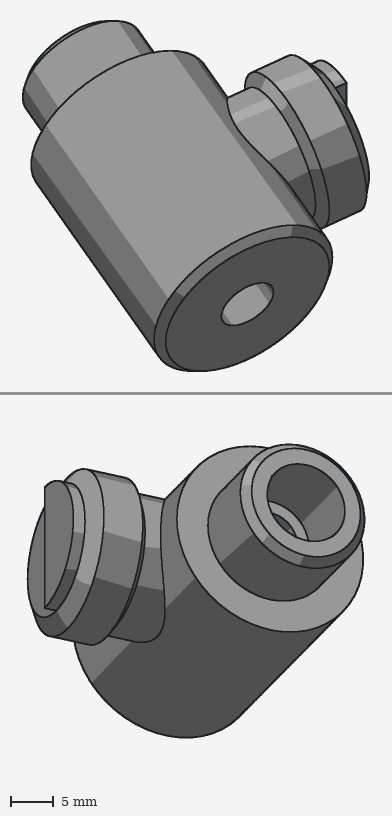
import cadquery as cq

total_length = 40.0
spigot_length = 10.0
spigot_radius = 8.0
body_radius = 12.0
edge_chamfer = 1.0

spigot_bore_radius = 5.0
through_bore_radius = 3.5
spigot_bore_depth = spigot_length

branch_x = 23.0
neck_radius = 8.5
collar_start = 14.0
collar_end = 21.5
collar_radius = 10.0
collar_inner_chamfer_length = 1.0
collar_outer_chamfer_length = 1.5
step_radius = 8.0
step_end = 23.0


def cylinder_x(radius, start, length):
    """Cylinder on the main axis, running toward +X."""
    return cq.Workplane("YZ", origin=(start, 0, 0)).circle(radius).extrude(length)


def make_main():
    spigot = cylinder_x(spigot_radius, 0, spigot_length).faces("<X").chamfer(edge_chamfer)
    body = cylinder_x(body_radius, spigot_length, total_length - spigot_length)
    return spigot.union(body.faces(">X").chamfer(edge_chamfer))


def make_branch():
    """Neck and double-chamfered collar, revolved from a half profile."""
    profile = [
        (0, 0),
        (neck_radius, 0),
        (neck_radius, collar_start),
        (collar_radius, collar_start + collar_inner_chamfer_length),
        (collar_radius, collar_end - collar_outer_chamfer_length),
        (step_radius, collar_end),
        (0, collar_end),
    ]
    turned = cq.Workplane("XY").polyline(profile).close().revolve(360, (0, 0), (0, 1))
    return turned.translate((branch_x, 0, 0))


def make_half_step():
    """Half disc on the collar face, on the spigot side of the branch axis."""
    return (
        cq.Workplane("XZ", origin=(branch_x, collar_end, 0))
        .moveTo(0, -step_radius)
        .threePointArc((-step_radius, 0), (0, step_radius))
        .close()
        .extrude(collar_end - step_end)
    )


result = make_main().union(make_branch()).union(make_half_step())
result = result.cut(cylinder_x(spigot_bore_radius, 0, spigot_bore_depth))
result = result.cut(cylinder_x(through_bore_radius, 0, total_length))